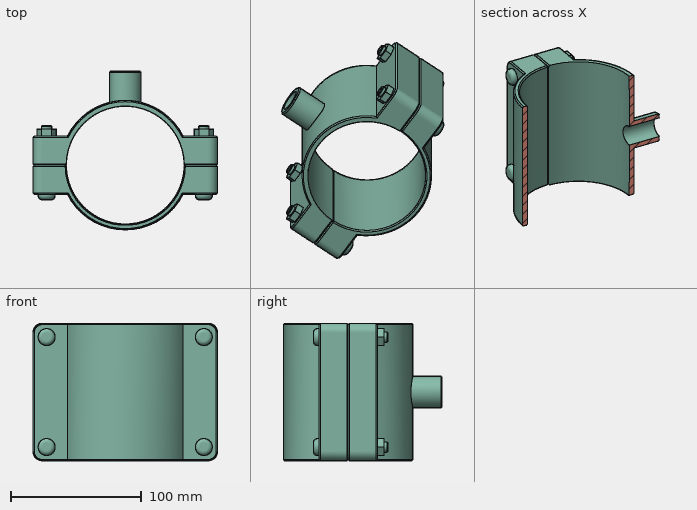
import cadquery as cq
import math

width = 141.0
height = 105.0
depth = 121.3
outer_radius = 49.5
wall = 4.5
bore_radius = outer_radius - wall
flange_thickness = 22.3
corner_radius = 7.0
edge_chamfer = 1.0

pipe_radius = 24.3 / 2
pipe_bore_radius = 16.0 / 2
pipe_end_y = depth - outer_radius

bolt_x = 60.0
bolt_z = 42.0
bolt_radius = 8.0 / 2
bolt_end_chamfer = 0.7
bolt_protrusion = 8.0
nut_sides = 6
nut_flats = 13.0
nut_corner_diameter = nut_flats / math.cos(math.pi / nut_sides)
nut_thickness = 5.2
head_radius = 13.0 / 2
head_height = 4.2
head_rounding = 3.1


def cylinder_y(radius, start_y, end_y, x=0.0, z=0.0):
    """Cylinder along Y between two Y positions."""
    base = cq.Workplane("XZ", origin=(x, start_y, z))
    return base.circle(radius).extrude(start_y - end_y)


def cylinder_z(radius):
    """Cylinder along Z over the full height of the clamp."""
    base = cq.Workplane("XY", origin=(0, 0, -height / 2))
    return base.circle(radius).extrude(height)


def solid_half(side):
    """Uncut half shell with its two flanges; side is +1 for +Y or -1 for -Y."""
    flanges = (
        cq.Workplane("XY")
        .box(width, flange_thickness, height)
        .translate((0, side * flange_thickness / 2, 0))
        .edges("|Y")
        .fillet(corner_radius)
    )
    keep = (
        cq.Workplane("XY")
        .box(width, outer_radius, height)
        .translate((0, side * outer_radius / 2, 0))
    )
    barrel = cylinder_z(outer_radius)
    return flanges.union(barrel.intersect(keep))


def front_half():
    """-Y half: chamfered along the bore edges as well as the outside."""
    half = solid_half(-1).cut(cylinder_z(bore_radius))
    return half.faces("|Z or >Y").chamfer(edge_chamfer)


def rear_half():
    """+Y half with the side pipe: chamfered outside only, its bore edges stay sharp."""
    half = solid_half(1)
    half = half.faces("|Z or <Y").chamfer(edge_chamfer)
    tube = cylinder_y(pipe_radius, 0, pipe_end_y).faces(">Y").chamfer(edge_chamfer)
    half = half.union(tube).cut(cylinder_z(bore_radius))
    return half.cut(cylinder_y(pipe_bore_radius, 0, pipe_end_y))


def bolt(x, z):
    """Round-headed bolt through both flanges with a hexagon nut at the +Y end."""
    face_y = flange_thickness
    shank = cylinder_y(bolt_radius, -face_y, face_y + bolt_protrusion, x, z)
    shank = shank.faces(">Y").chamfer(bolt_end_chamfer)
    head = cylinder_y(head_radius, -face_y, -face_y - head_height, x, z)
    head = head.faces("<Y").edges().fillet(head_rounding)
    nut = (
        cq.Workplane("XZ", origin=(x, face_y, z))
        .polygon(nut_sides, nut_corner_diameter)
        .extrude(-nut_thickness)
    )
    return shank.union(head).union(nut)


result = front_half().union(rear_half())
for x in (-bolt_x, bolt_x):
    for z in (-bolt_z, bolt_z):
        result = result.union(bolt(x, z))